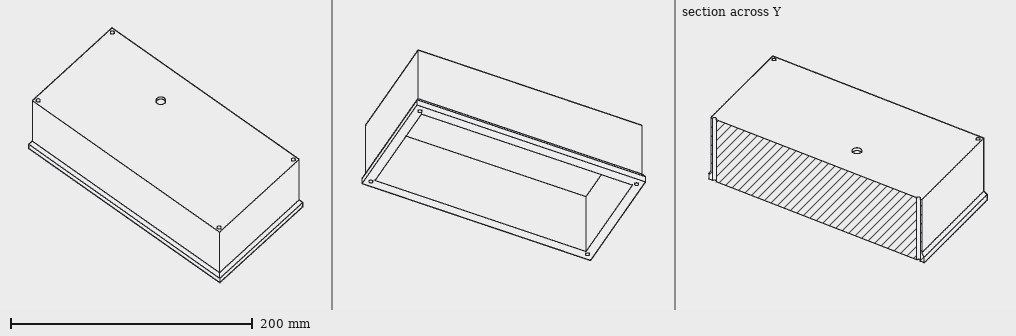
import cadquery as cq

lip_length = 210.13
lip_width = 104.2
total_height = 66.0

lip_overhang = 2.1
lip_band_height = 6.0
lip_slope_height = 4.0

body_length = lip_length - 2 * lip_overhang
body_width = lip_width - 2 * lip_overhang

roof_thickness = 3.0
wall_thickness = 6.0

screw_hole_diameter = 3.3
screw_hole_inset = 3.48
roof_hole_diameter = 8.0
roof_hole_from_left = 80.0
roof_hole_from_back = 30.0
roof_hole_x = roof_hole_from_left - body_length / 2
roof_hole_y = body_width / 2 - roof_hole_from_back


def make_block(length, width, height):
    """Block standing on Z = 0, centred on the Z axis."""
    return cq.Workplane("XY").box(length, width, height, centered=(True, True, False))


def make_shell():
    """Upright box with the sloped lip, hollowed from below."""
    body = make_block(body_length, body_width, total_height)
    band = make_block(lip_length, lip_width, lip_band_height)
    slope = (
        cq.Workplane("XY", origin=(0, 0, lip_band_height))
        .rect(lip_length, lip_width)
        .workplane(offset=lip_slope_height)
        .rect(body_length, body_width)
        .loft(ruled=True)
    )
    cavity = make_block(
        body_length - 2 * wall_thickness,
        body_width - 2 * wall_thickness,
        total_height - roof_thickness,
    )
    return body.union(band).union(slope).cut(cavity)


def make_screw_holes():
    """Four corner holes running the full height of the walls."""
    spacing_x = body_length - 2 * screw_hole_inset
    spacing_y = body_width - 2 * screw_hole_inset
    return (
        cq.Workplane("XY")
        .rect(spacing_x, spacing_y, forConstruction=True)
        .vertices()
        .circle(screw_hole_diameter / 2)
        .extrude(total_height)
    )


def make_roof_hole():
    """Single off-centre hole through the roof."""
    return (
        cq.Workplane("XY")
        .center(roof_hole_x, roof_hole_y)
        .circle(roof_hole_diameter / 2)
        .extrude(total_height)
    )


result = make_shell().cut(make_screw_holes()).cut(make_roof_hole())